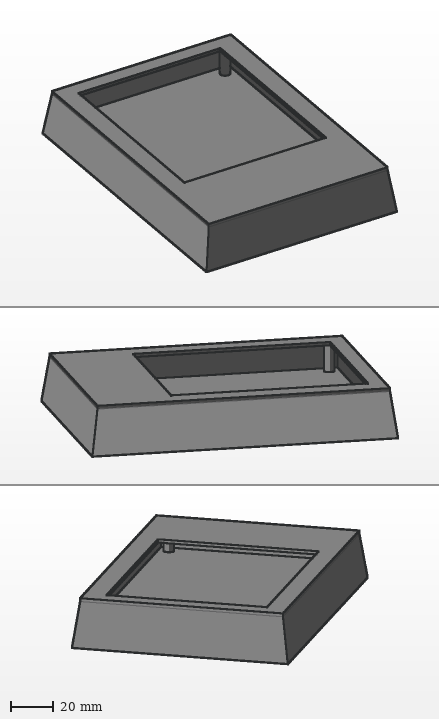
import cadquery as cq

base_length = 147.9
base_width = 105.2
total_height = 23.8
lid_thickness = 1.6
lid_length = 141.5

window_left_margin = 8.1
window_front_margin = 9.9
window_length = 95.2
window_width = 78.1

wall_thickness = 3.0
cavity_depth = 12.9

post_diameter = 5.0
post_inset = 8.1

side_draft = (base_length - lid_length) / 2
lid_width = base_width - 2 * side_draft
base_height = total_height - lid_thickness
floor_height = base_height - cavity_depth


def make_base():
    """Tray with drafted outer sides and a straight-walled rectangular cavity."""
    outside = (
        cq.Workplane("XY")
        .rect(base_length, base_width)
        .workplane(offset=base_height)
        .rect(lid_length, lid_width)
        .loft(ruled=True)
    )
    cavity = (
        cq.Workplane("XY")
        .workplane(offset=floor_height)
        .rect(lid_length - 2 * wall_thickness, lid_width - 2 * wall_thickness)
        .extrude(cavity_depth)
    )
    return outside.cut(cavity)


def make_posts():
    """Round posts from the cavity floor to the underside of the lid."""
    return (
        cq.Workplane("XY")
        .workplane(offset=floor_height)
        .rect(lid_length - 2 * post_inset, lid_width - 2 * post_inset, forConstruction=True)
        .vertices()
        .circle(post_diameter / 2)
        .extrude(cavity_depth)
    )


def make_lid():
    """Flat plate with the off-centre window cut through it."""
    window_x = -lid_length / 2 + window_left_margin + window_length / 2
    window_y = -lid_width / 2 + window_front_margin + window_width / 2
    return (
        cq.Workplane("XY")
        .workplane(offset=base_height)
        .rect(lid_length, lid_width)
        .pushPoints([(window_x, window_y)])
        .rect(window_length, window_width)
        .extrude(lid_thickness)
    )


result = make_base().union(make_posts()).union(make_lid())